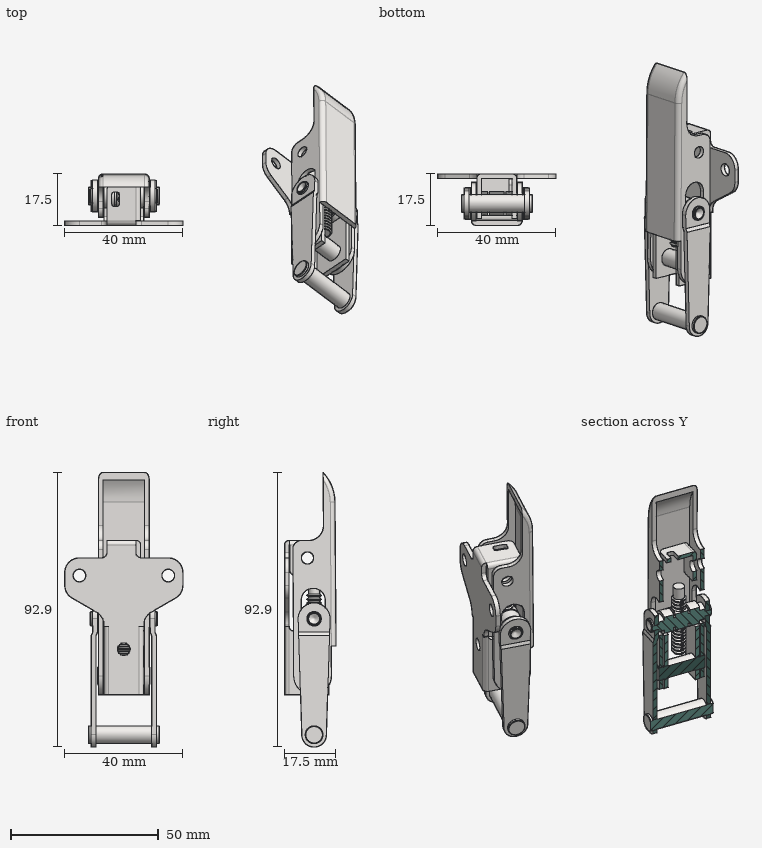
import cadquery as cq
import math


base_sheet = 1.6
base_half_width = 20.0
wing_top = 46.0
wing_corner_radius = 5.0
wing_lower_corner = 36.7
wing_slope = math.radians(30)
mount_hole_diameter = 4.2
mount_hole_x = 15.0
mount_hole_z = 40.0
channel_half_width = 6.75
channel_corner_radius = 5.0
flange_top = 22.8
flange_depth = 15.0
flange_relief_radius = 1.5
window_diameter = 4.2
window_z = 15.1

tab_left = -5.7
tab_right = 5.7
tab_top = 51.9
tab_depth = 14.0
tab_corner_radius = 2.0
neck_fillet = 1.8
stop_wall_bottom = 40.0
stop_wall_corner = 2.0
stop_wall_hole_diameter = 4.2
stop_wall_gap = 0.1
tab_slot_x = -2.8
tab_slot_y = 8.9
tab_slot_width = 2.6
tab_slot_length = 4.8
tab_slot_corner = 0.8

pivot_y = 9.5
pivot_z = 6.1
pivot_diameter = 6.0
pivot_half_length = 8.85
pivot_edge_break = 0.2

lever_sheet = 1.63
lever_half_width = 8.6
lever_end_radius = 6.4
base_bottom = pivot_z - lever_end_radius
lever_tilt = 0.42
lever_back_bottom = 16.1
lever_shoulder = 51.9
lever_lip_y = 13.5
lever_curl_start = 64.73
lever_curl_radius = 14.8
shoulder_outer_radius = 3.0
shoulder_inner_radius = 5.0
lock_hole_diameter = 4.0
lock_hole_y = 8.05
lock_hole_z = 45.95
lever_slot_width = 8.0
lever_slot_y = 9.9
lever_slot_top = 35.7

pin_y = 10.0
pin_z = 25.4
pin_end_diameter = 4.9
pin_shoulder_diameter = 6.0
pin_barrel_diameter = 8.0
pin_barrel_half_length = 6.75
pin_groove_diameter = 6.0
pin_groove_x = 2.8
pin_groove_width = 0.6
pin_half_length = 11.4
pin_edge_chamfer = 0.3
dimple_diameter = 3.7
dimple_depth = 1.1

screw_root_diameter = 3.9
screw_crest_diameter = 5.0
screw_bottom = 11.5
screw_top = 38.0
crest_count = 17
crest_pitch = 1.31
top_crest_z = 33.3
crest_half_height = 0.45

link_sheet = 1.7
link_inner_x = 8.85
link_joggle = 0.5
joggle_top = 20.9
joggle_bottom = 19.7
link_top_radius = 5.4
link_bottom_radius = 4.2

bar_z = -13.8
bar_diameter = 6.0
bar_half_length = 12.0
bar_edge_break = 0.2


def block(x0, x1, y0, y1, z0, z1):
    """Box between two opposite corners."""
    return cq.Workplane("XY").box(x1 - x0, y1 - y0, z1 - z0, centered=False).translate((x0, y0, z0))


def cross_cylinder(diameter, half_length, y, z):
    """Cylinder along X, centred on X = 0."""
    end = cq.Workplane("YZ", origin=(-half_length, y, z))
    return end.circle(diameter / 2).extrude(2 * half_length)


def mounting_plate():
    r = wing_corner_radius
    slope_x = base_half_width - r + r * math.sin(wing_slope)
    slope_z = wing_lower_corner - r * math.cos(wing_slope)
    arc_mid_angle = (wing_slope + math.pi / 2) / 2
    arc_mid_x = base_half_width - r + r * math.sin(arc_mid_angle)
    arc_mid_z = wing_lower_corner - r * math.cos(arc_mid_angle)
    channel_z = slope_z - (slope_x - channel_half_width) * math.tan(wing_slope)
    half = (
        cq.Workplane("XZ")
        .moveTo(0, base_bottom)
        .lineTo(channel_half_width, base_bottom)
        .lineTo(channel_half_width, channel_z)
        .lineTo(slope_x, slope_z)
        .threePointArc((arc_mid_x, arc_mid_z), (base_half_width, wing_lower_corner))
        .lineTo(base_half_width, wing_top - r)
        .radiusArc((base_half_width - r, wing_top), -r)
        .lineTo(0, wing_top)
        .close()
        .extrude(-base_sheet)
        .edges(cq.selectors.NearestToPointSelector((channel_half_width, base_sheet / 2, channel_z)))
        .fillet(channel_corner_radius)
    )
    holes = (
        cq.Workplane("XZ")
        .pushPoints([(-mount_hole_x, mount_hole_z), (mount_hole_x, mount_hole_z)])
        .circle(mount_hole_diameter / 2)
        .extrude(-base_sheet)
    )
    return half.union(half.mirror("YZ")).cut(holes)


def side_flanges():
    inner = channel_half_width - base_sheet
    side = (
        cq.Workplane("YZ", origin=(inner, 0, 0))
        .moveTo(0, base_bottom)
        .lineTo(flange_depth, base_bottom)
        .lineTo(flange_depth, flange_top - flange_relief_radius)
        .lineTo(base_sheet + flange_relief_radius, flange_top - flange_relief_radius)
        .radiusArc((base_sheet, flange_top), flange_relief_radius)
        .lineTo(0, flange_top)
        .close()
        .extrude(base_sheet)
    )
    return side.union(side.mirror("YZ"))


def round_flange_bends(body):
    """Round the outer folds by removing the material outside each bend radius."""
    x_inner = channel_half_width - base_sheet
    corner = block(x_inner, channel_half_width, 0, base_sheet, base_bottom, flange_top)
    bend_axis = cq.Workplane("XY", origin=(x_inner, base_sheet, base_bottom))
    bend = bend_axis.circle(base_sheet).extrude(flange_top - base_bottom)
    waste = corner.cut(bend)
    return body.cut(waste).cut(waste.mirror("YZ"))


def top_tab():
    bend_x = tab_right - base_sheet
    shell = block(tab_left, tab_right, 0, tab_depth, stop_wall_bottom, tab_top)
    shell = shell.edges("|Y and >X and >Z").fillet(base_sheet)
    shell = shell.edges("|X and <Y and >Z").fillet(base_sheet)
    shell = shell.cut(block(tab_left, bend_x, base_sheet, tab_depth, 0, tab_top - base_sheet))
    wall_front = base_sheet + stop_wall_gap
    notch = block(bend_x, tab_right, 0, wall_front, 0, tab_top)
    shell = shell.cut(notch)
    shell = shell.edges("|Z and <X and >Y").fillet(tab_corner_radius)
    wall_corner = cq.selectors.NearestToPointSelector(
        (tab_right - base_sheet / 2, wall_front, stop_wall_bottom)
    )
    shell = shell.edges(wall_corner).fillet(stop_wall_corner)
    slot = (
        cq.Workplane("XY")
        .center(tab_slot_x, tab_slot_y)
        .rect(tab_slot_width, tab_slot_length)
        .extrude(tab_top)
        .edges("|Z")
        .fillet(tab_slot_corner)
    )
    return shell.cut(slot)


def make_base():
    base = mounting_plate().union(side_flanges())
    base = round_flange_bends(base)
    base = base.union(top_tab())
    for neck_x in (tab_left, tab_right - base_sheet):
        inner_corner = cq.selectors.NearestToPointSelector((neck_x, base_sheet / 2, wing_top))
        base = base.edges(inner_corner).fillet(neck_fillet)
    window = (
        cq.Workplane("XZ").center(0, window_z).circle(window_diameter / 2).extrude(-base_sheet)
    )
    tilt_shift = (lock_hole_z - pivot_z) * math.sin(math.radians(lever_tilt))
    lock_hole = cross_cylinder(
        stop_wall_hole_diameter, lever_half_width, lock_hole_y - tilt_shift, lock_hole_z
    )
    pivot_hole = cross_cylinder(pivot_diameter, lever_half_width, pivot_y, pivot_z)
    return base.cut(window).cut(lock_hole).cut(pivot_hole)


lever_front_y = pivot_y - lever_end_radius
wall_back_y = pivot_y + lever_end_radius
lever_back_y = wall_back_y + lever_sheet


def lever_profile(inset):
    """Side outline of the handle block; inset moves the back and the curled end inwards."""
    back = lever_back_y - inset
    radius = lever_curl_radius - inset
    curl_centre_y = back - radius
    lip_rise = math.sqrt(radius ** 2 - (lever_lip_y - curl_centre_y) ** 2)
    half_sweep = math.atan2(lip_rise, lever_lip_y - curl_centre_y) / 2
    mid_y = curl_centre_y + radius * math.cos(half_sweep)
    mid_z = lever_curl_start + radius * math.sin(half_sweep)
    return (
        cq.Workplane("YZ")
        .moveTo(lever_front_y, 0)
        .lineTo(back, 0)
        .lineTo(back, lever_curl_start)
        .threePointArc((mid_y, mid_z), (lever_lip_y, lever_curl_start + lip_rise))
        .lineTo(lever_lip_y, lever_shoulder)
        .lineTo(lever_front_y, lever_shoulder)
        .close()
    )


def make_lever():
    body = lever_profile(0).extrude(lever_half_width, both=True)
    body = body.faces(">Y").edges("|Z").fillet(lever_sheet)
    step = cq.selectors.NearestToPointSelector((0, lever_lip_y, lever_shoulder))
    body = body.edges(step).fillet(shoulder_inner_radius)
    nose = cq.selectors.NearestToPointSelector((0, lever_front_y, lever_shoulder))
    body = body.edges(nose).fillet(shoulder_outer_radius)

    inner_half_width = lever_half_width - lever_sheet
    body = body.cut(lever_profile(lever_sheet).extrude(inner_half_width, both=True))
    body = body.cut(
        block(-inner_half_width, inner_half_width, 0, lever_lip_y, 0, lever_curl_start)
    )
    body = body.cut(
        block(-lever_half_width, lever_half_width, wall_back_y, lever_back_y, 0, lever_back_bottom)
    )
    end_block = block(-lever_half_width, lever_half_width, 0, wall_back_y, 0, pivot_z)
    end_round = cross_cylinder(2 * lever_end_radius, lever_half_width, pivot_y, pivot_z)
    walls = end_round.cut(
        cross_cylinder(2 * lever_end_radius, inner_half_width, pivot_y, pivot_z)
    )
    body = body.cut(end_block).union(walls)

    slot_end_z = lever_slot_top - lever_slot_width / 2
    slot = cross_cylinder(lever_slot_width, lever_half_width, lever_slot_y, slot_end_z)
    slot = slot.union(cross_cylinder(lever_slot_width, lever_half_width, lever_slot_y, pin_z))
    slot = slot.union(
        block(
            -lever_half_width, lever_half_width,
            lever_slot_y - lever_slot_width / 2, lever_slot_y + lever_slot_width / 2,
            pin_z, slot_end_z,
        )
    )
    body = body.cut(slot)
    body = body.cut(cross_cylinder(lock_hole_diameter, lever_half_width, lock_hole_y, lock_hole_z))
    body = body.cut(cross_cylinder(pivot_diameter, lever_half_width, pivot_y, pivot_z))
    return body.rotate((0, pivot_y, pivot_z), (1, pivot_y, pivot_z), lever_tilt)


def make_pivot():
    rivet = cross_cylinder(pivot_diameter, pivot_half_length, pivot_y, pivot_z)
    return rivet.faces("<X or >X").edges().chamfer(pivot_edge_break)


def screw_shank():
    root = screw_root_diameter / 2
    crest = screw_crest_diameter / 2
    profile = cq.Workplane("XZ", origin=(0, pin_y, 0)).moveTo(0, screw_top).lineTo(root, screw_top)
    for i in range(crest_count):
        z = top_crest_z - i * crest_pitch
        profile = profile.lineTo(root, z + crest_half_height)
        profile = profile.lineTo(crest, z)
        profile = profile.lineTo(root, z - crest_half_height)
    profile = profile.lineTo(root, screw_bottom).lineTo(0, screw_bottom).close()
    return profile.revolve(360, (0, 0, 0), (0, 1, 0))


def make_toggle_pin():
    pin = cross_cylinder(pin_end_diameter, pin_half_length, pin_y, pin_z)
    pin = pin.faces("<X or >X").edges().chamfer(pin_edge_chamfer)
    pin = pin.union(cross_cylinder(pin_shoulder_diameter, link_inner_x, pin_y, pin_z))
    pin = pin.union(cross_cylinder(pin_barrel_diameter, pin_barrel_half_length, pin_y, pin_z))
    groove = cross_cylinder(pin_barrel_diameter, pin_groove_width / 2, pin_y, pin_z).cut(
        cross_cylinder(pin_groove_diameter, pin_groove_width / 2, pin_y, pin_z)
    )
    for side in (-1, 1):
        pin = pin.cut(groove.translate((side * pin_groove_x, 0, 0)))
        dimple = cq.Solid.makeCone(
            dimple_diameter / 2, 0, dimple_depth,
            cq.Vector(side * pin_half_length, pin_y, pin_z), cq.Vector(-side, 0, 0),
        )
        pin = pin.cut(cq.Workplane(dimple))
    return pin.union(screw_shank())


def link_outline():
    """Tapered strap: two round ends joined by their common tangents."""
    lean = math.asin((link_top_radius - link_bottom_radius) / (pin_z - bar_z))
    side_y = math.cos(lean)
    side_z = math.sin(lean)

    def tangent_point(radius, centre_z, side):
        return (pin_y + side * radius * side_y, centre_z + radius * side_z)

    return (
        cq.Workplane("YZ")
        .moveTo(*tangent_point(link_top_radius, pin_z, -1))
        .threePointArc(
            (pin_y, pin_z + link_top_radius), tangent_point(link_top_radius, pin_z, 1)
        )
        .lineTo(*tangent_point(link_bottom_radius, bar_z, 1))
        .threePointArc(
            (pin_y, bar_z - link_bottom_radius), tangent_point(link_bottom_radius, bar_z, -1)
        )
        .close()
    )


def make_link(side):
    top = pin_z + link_top_radius
    bottom = bar_z - link_bottom_radius
    upper = link_inner_x
    lower = link_inner_x + link_joggle
    strip = (
        cq.Workplane("XZ")
        .polyline([
            (upper, top),
            (upper, joggle_top),
            (lower, joggle_bottom),
            (lower, bottom),
            (lower + link_sheet, bottom),
            (lower + link_sheet, joggle_bottom),
            (upper + link_sheet, joggle_top),
            (upper + link_sheet, top),
        ])
        .close()
        .extrude(-(pin_y + link_top_radius))
    )
    link = link_outline().extrude(lower + link_sheet).intersect(strip)
    link = link.cut(cross_cylinder(pin_end_diameter, bar_half_length, pin_y, pin_z))
    link = link.cut(cross_cylinder(bar_diameter, bar_half_length, pin_y, bar_z))
    return link if side > 0 else link.mirror("YZ")


def make_cross_bar():
    bar = cross_cylinder(bar_diameter, bar_half_length, pin_y, bar_z)
    return bar.faces("<X or >X").edges().chamfer(bar_edge_break)


base = make_base()
lever = make_lever()
pivot = make_pivot()
toggle_pin = make_toggle_pin()
links = [make_link(side) for side in (-1, 1)]
cross_bar = make_cross_bar()

result = cq.Compound.makeCompound([
    base.val(),
    lever.val(),
    pivot.val(),
    toggle_pin.val(),
    *[link.val() for link in links],
    cross_bar.val(),
])